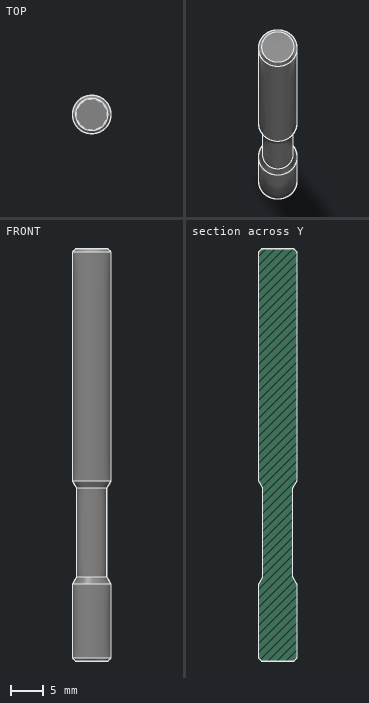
import cadquery as cq

length = 64.0
radius = 3.0
end_chamfer = 0.5

neck_radius = 2.4
neck_bottom = 13.05
neck_top = 26.9
shoulder_height = 1.1

profile = [
    (0, 0),
    (radius - end_chamfer, 0),
    (radius, end_chamfer),
    (radius, neck_bottom - shoulder_height),
    (neck_radius, neck_bottom),
    (neck_radius, neck_top),
    (radius, neck_top + shoulder_height),
    (radius, length - end_chamfer),
    (radius - end_chamfer, length),
    (0, length),
]

result = cq.Workplane("XZ").polyline(profile).close().revolve(360, (0, 0, 0), (0, 1, 0))